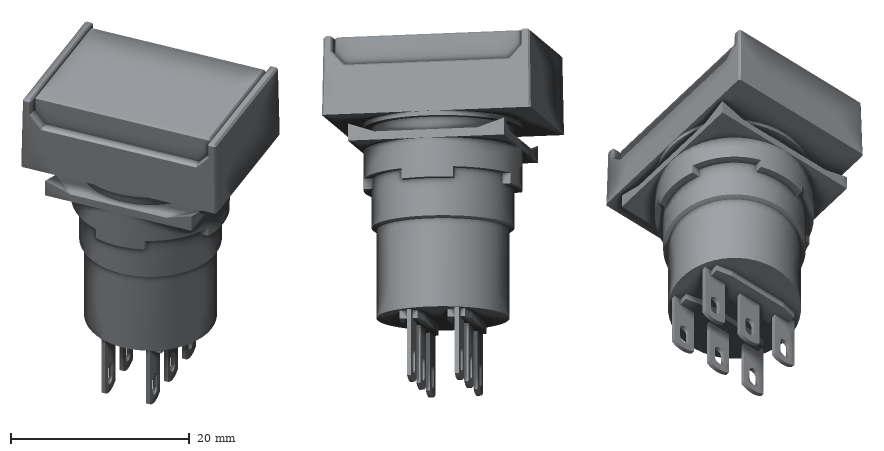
import cadquery as cq

overall_height = 39.0
bezel_height = 9.0
body_depth = 22.0
terminal_length = overall_height - bezel_height - body_depth

bezel_x = 23.9
bezel_y = 17.85
bezel_draft = 0.15
bezel_corner = 0.2
edge_chamfer = 0.25
inner_chamfer = 0.2
cutout_flare = 0.25
cutout_depth = 3.3
cutout_shoulder = 1.8
cutout_floor_x = 18.8
pocket_x = 21.6

button_x = 21.53
button_y = 15.65
button_draft = 0.05
button_corner = 0.15
button_chamfer = 0.25

flange_diameter = 17.8
flange_thickness = 0.5
upper_diameter = 16.0
upper_depth = 11.75
lower_diameter = 14.9
step_taper = 0.25

collar_side = 17.9
collar_bottom = -3.05
plate_thickness = 0.95
corner_rise = 1.0
corner_run = 3.05
skirt_diameter = 17.8
skirt_bottom = -7.5
tooth_height = 1.17
tooth_width = 5.9

row_x = 2.73
block_x = 2.8
block_y = 11.15
block_height = 0.9
block_cut_x = 0.4
block_cut_y = 1.87
terminal_pitch = 5.0
terminals_per_row = 3
terminal_width = 2.8
terminal_thickness = 0.45
terminal_tip_bulge = 0.5
slot_width = 1.2
slot_length = 2.7
slot_from_tip = 2.38


def drafted_block(size_x, size_y, height, draft, bottom):
    """Upright block whose sides lean inward by `draft` over its height."""
    return (
        cq.Workplane("XY", origin=(0, 0, bottom))
        .rect(size_x, size_y)
        .workplane(offset=height)
        .rect(size_x - 2 * draft, size_y - 2 * draft)
        .loft(ruled=True)
    )


def cylinder(diameter, bottom, top):
    return cq.Workplane("XY", origin=(0, 0, bottom)).circle(diameter / 2).extrude(top - bottom)


def cutout_profile(y, growth):
    """Closed outline of the finger cutout in the plane at y, enlarged all round by growth."""
    half_floor = cutout_floor_x / 2
    half_width = pocket_x / 2
    floor = bezel_height - cutout_depth
    shoulder = bezel_height - cutout_shoulder
    outline = (
        cq.Workplane("XZ", origin=(0, y, 0))
        .polyline([
            (-half_width, bezel_height),
            (-half_width, shoulder),
            (-half_floor, floor),
            (half_floor, floor),
            (half_width, shoulder),
            (half_width, bezel_height),
        ])
        .close()
    )
    if growth > 0:
        outline = outline.offset2D(growth, "intersection")
    return outline


def finger_cutout():
    """Cutout through the front and back bezel walls, flared at both outer faces."""
    half_y = bezel_y / 2
    flare_depth = bezel_draft + cutout_flare
    cutout = cutout_profile(half_y, 0).extrude(bezel_y)
    for side in (-1, 1):
        outer = cutout_profile(side * half_y, cutout_flare).val()
        inner = cutout_profile(side * (half_y - flare_depth), 0).wire().val()
        cutout = cutout.union(cq.Workplane(cq.Solid.makeLoft([outer, inner], True)))
    return cutout


def make_bezel():
    bezel = drafted_block(bezel_x, bezel_y, bezel_height, bezel_draft, 0)
    bezel = bezel.edges("not #Z").chamfer(bezel_corner)
    bezel = bezel.faces(">Z").chamfer(edge_chamfer)
    pocket = drafted_block(pocket_x, button_y, cutout_depth, 0, bezel_height - cutout_depth)
    rim_bevel = drafted_block(
        pocket_x, bezel_y, inner_chamfer, -inner_chamfer, bezel_height - inner_chamfer
    )
    return bezel.cut(finger_cutout()).cut(pocket).cut(rim_bevel)


def make_barrel():
    """Flange and stepped barrel turned about Z."""
    return (
        cq.Workplane("XZ")
        .polyline([
            (0, 0),
            (flange_diameter / 2, 0),
            (flange_diameter / 2, -flange_thickness),
            (upper_diameter / 2, -flange_thickness),
            (upper_diameter / 2, -upper_depth),
            (lower_diameter / 2, -upper_depth - step_taper),
            (lower_diameter / 2, -body_depth),
            (0, -body_depth),
        ])
        .close()
        .revolve(360, (0, 0, 0), (0, 1, 0))
    )


def make_block(x):
    half_x = block_x / 2
    half_y = block_y / 2
    return (
        cq.Workplane("XY", origin=(x, 0, -body_depth))
        .polyline([
            (half_x, half_y - block_cut_y),
            (half_x - block_cut_x, half_y),
            (block_cut_x - half_x, half_y),
            (-half_x, half_y - block_cut_y),
            (-half_x, block_cut_y - half_y),
            (block_cut_x - half_x, -half_y),
            (half_x - block_cut_x, -half_y),
            (half_x, block_cut_y - half_y),
        ])
        .close()
        .extrude(-block_height)
    )


def make_terminal(x, y):
    """Flat blade with a rounded tip and a wire slot; its +X face lies at x."""
    half_width = terminal_width / 2
    shoulder = terminal_tip_bulge - terminal_length
    blade = (
        cq.Workplane("YZ", origin=(x, y, -body_depth))
        .moveTo(-half_width, 0)
        .lineTo(-half_width, shoulder)
        .threePointArc((0, -terminal_length), (half_width, shoulder))
        .lineTo(half_width, 0)
        .close()
        .extrude(-terminal_thickness)
    )
    wire_slot = (
        cq.Workplane("YZ", origin=(x, y, -body_depth))
        .center(0, slot_from_tip - terminal_length)
        .slot2D(slot_length, slot_width, 90)
        .extrude(-terminal_thickness)
    )
    return blade.cut(wire_slot)


def make_housing():
    housing = make_bezel().union(make_barrel())
    for x in (-row_x, row_x):
        housing = housing.union(make_block(x))
        for index in range(terminals_per_row):
            y = (index - (terminals_per_row - 1) / 2) * terminal_pitch
            housing = housing.union(make_terminal(x, y))
    return housing


def make_button():
    """Drafted button standing on the pocket floor."""
    button = drafted_block(button_x, button_y, cutout_depth, button_draft, bezel_height - cutout_depth)
    button = button.edges("not #Z").chamfer(button_corner)
    return button.faces(">Z").chamfer(button_chamfer)


def make_raised_corner(angle):
    """Three-sided pyramid rising to one corner of the collar plate."""
    half = collar_side / 2
    base = collar_bottom + plate_thickness
    corner = cq.Vector(half, half, base)
    along_x = cq.Vector(half - corner_run, half, base)
    along_y = cq.Vector(half, half - corner_run, base)
    tip = cq.Vector(half, half, base + corner_rise)
    triangles = [
        (corner, along_x, along_y),
        (corner, along_x, tip),
        (corner, along_y, tip),
        (along_x, along_y, tip),
    ]
    faces = [cq.Face.makeFromWires(cq.Wire.makePolygon(points, close=True)) for points in triangles]
    pyramid = cq.Solid.makeSolid(cq.Shell.makeShell(faces))
    return cq.Workplane(pyramid).rotate((0, 0, 0), (0, 0, 1), angle)


def make_collar():
    collar = (
        cq.Workplane("XY", origin=(0, 0, collar_bottom))
        .rect(collar_side, collar_side)
        .extrude(plate_thickness)
    )
    for angle in (0, 90, 180, 270):
        collar = collar.union(make_raised_corner(angle))

    teeth_top = skirt_bottom + tooth_height
    skirt = cylinder(skirt_diameter, teeth_top, collar_bottom)
    teeth = cylinder(skirt_diameter, skirt_bottom, teeth_top)
    cross = (
        cq.Workplane("XY", origin=(0, 0, skirt_bottom))
        .rect(skirt_diameter, tooth_width)
        .extrude(tooth_height)
        .union(
            cq.Workplane("XY", origin=(0, 0, skirt_bottom))
            .rect(tooth_width, skirt_diameter)
            .extrude(tooth_height)
        )
    )
    bore = cylinder(upper_diameter, skirt_bottom, collar_bottom + plate_thickness)
    return collar.union(skirt).union(teeth.intersect(cross)).cut(bore)


housing = make_housing()
button = make_button()
collar = make_collar()

result = cq.Compound.makeCompound([body.solids().val() for body in (housing, button, collar)])